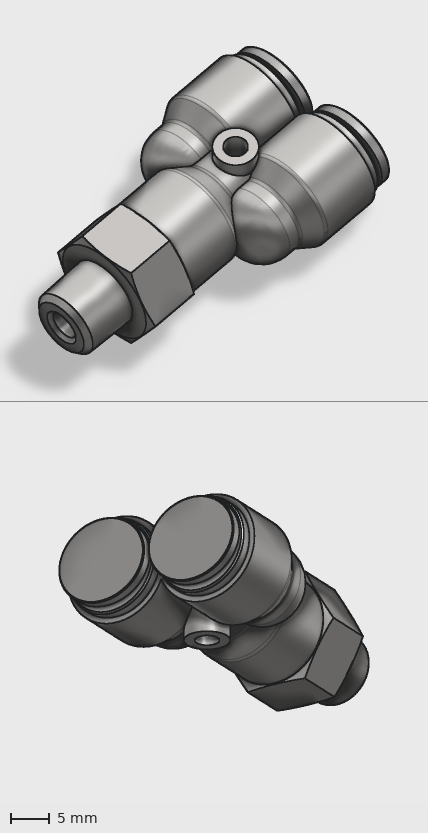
import cadquery as cq
import math


overall_length = 47.45
overall_width = 28.3

hex_start = 8.0
hex_end = 16.1
hex_across_flats = 15.0
hex_chamfer_diameter = 14.8
hex_chamfer_length = 0.45
thread_base_diameter = 9.95
thread_tip_diameter = 9.6
thread_chamfer = 0.8
bore_diameter = 4.0
bore_chamfer = 0.55
bore_depth = hex_start

barrel_diameter = 14.7
neck_diameter = 11.1
shoulder_blend = 1.05
stem_cone_start = 25.0
stem_cone_end = 28.0
dome_bottom = 25.1
dome_flat_diameter = 2.0
port_cone_start = 31.6
port_cone_end = 34.6
barrel_end = 43.7
port_offset = (overall_width - barrel_diameter) / 2

eyelet_y = 32.55
eyelet_diameter = 6.0
eyelet_hole_diameter = 3.2

collar_end = 45.25
collar_diameter = 13.15
ring_neck_diameter = 7.5
flange_start = 46.0
flange_width = 12.9
flange_height = 11.63
collar_chamfer = 0.25
flange_chamfer = 0.15


def cylinder_along_y(x, start, end, diameter):
    """Solid cylinder parallel to Y between two Y positions."""
    plane = cq.Plane(origin=(x, start, 0), xDir=(1, 0, 0), normal=(0, 1, 0))
    return cq.Workplane(plane).circle(diameter / 2).extrude(end - start)


def revolve_about_y(profile):
    """Turn a closed (radius, Y) profile about the Y axis."""
    return profile.revolve(360, (0, 0, 0), (0, 1, 0))


def make_stud():
    """Hexagon with both ends chamfered, tapered thread and blind bore."""
    corner_radius = hex_across_flats / math.sqrt(3)
    hex_plane = cq.Plane(origin=(0, hex_start, 0), xDir=(1, 0, 0), normal=(0, 1, 0))
    hexagon = cq.Workplane(hex_plane).polygon(6, 2 * corner_radius).extrude(hex_end - hex_start)

    chamfer_envelope = revolve_about_y(
        cq.Workplane("XY").polyline([
            (0, hex_start),
            (hex_chamfer_diameter / 2, hex_start),
            (corner_radius, hex_start + hex_chamfer_length),
            (corner_radius, hex_end - hex_chamfer_length),
            (hex_chamfer_diameter / 2, hex_end),
            (0, hex_end),
        ]).close()
    )

    tip_radius = thread_tip_diameter / 2
    thread = revolve_about_y(
        cq.Workplane("XY").polyline([
            (0, 0),
            (tip_radius - thread_chamfer, 0),
            (tip_radius, thread_chamfer),
            (thread_base_diameter / 2, hex_start),
            (0, hex_start),
        ]).close()
    )

    bore_radius = bore_diameter / 2
    bore = revolve_about_y(
        cq.Workplane("XY").polyline([
            (0, 0),
            (bore_radius + bore_chamfer, 0),
            (bore_radius, bore_chamfer),
            (bore_radius, bore_depth),
            (0, bore_depth),
        ]).close()
    )
    return hexagon.intersect(chamfer_envelope).union(thread).cut(bore)


def blend_shoulders(solid, positions):
    """Round the circular edges of a body turned about Y that lie at the given Y positions."""
    reach = barrel_diameter
    slack = 0.05
    for y in positions:
        at_position = cq.selectors.BoxSelector((-reach, y - slack, -reach), (reach, y + slack, reach), True)
        solid = solid.edges(at_position).fillet(shoulder_blend)
    return solid


def make_stem():
    """Barrel next to the hexagon, narrowing to the neck that runs in between the ports."""
    stem = revolve_about_y(
        cq.Workplane("XY").polyline([
            (0, hex_end),
            (barrel_diameter / 2, hex_end),
            (barrel_diameter / 2, stem_cone_start),
            (neck_diameter / 2, stem_cone_end),
            (neck_diameter / 2, eyelet_y),
            (0, eyelet_y),
        ]).close()
    )
    return blend_shoulders(stem, [stem_cone_start, stem_cone_end])


def make_port(x):
    """Port barrel narrowing to a neck that is closed by a dome with a small flat."""
    neck_radius = neck_diameter / 2
    flat_radius = dome_flat_diameter / 2
    dome_radius = neck_radius - flat_radius
    arc_reach = dome_radius / math.sqrt(2)
    port = revolve_about_y(
        cq.Workplane("XY")
        .moveTo(0, dome_bottom)
        .lineTo(flat_radius, dome_bottom)
        .threePointArc(
            (flat_radius + arc_reach, dome_bottom + dome_radius - arc_reach),
            (neck_radius, dome_bottom + dome_radius),
        )
        .lineTo(neck_radius, port_cone_start)
        .lineTo(barrel_diameter / 2, port_cone_end)
        .lineTo(barrel_diameter / 2, barrel_end)
        .lineTo(0, barrel_end)
        .close()
    )
    return blend_shoulders(port, [port_cone_start, port_cone_end]).translate((x, 0, 0))


def make_housing():
    """Stem, both ports and the eyelet as one body."""
    eyelet = (
        cq.Workplane("XY")
        .center(0, eyelet_y)
        .circle(eyelet_diameter / 2)
        .extrude(barrel_diameter / 2, both=True)
    )
    eyelet_hole = (
        cq.Workplane("XY")
        .center(0, eyelet_y)
        .circle(eyelet_hole_diameter / 2)
        .extrude(barrel_diameter, both=True)
    )
    housing = make_stem()
    for side in (-1, 1):
        housing = housing.union(make_port(side * port_offset))
    return housing.union(eyelet).cut(eyelet_hole)


def make_collar(x):
    """Collar on the end face of a port barrel."""
    collar = cylinder_along_y(x, barrel_end, collar_end, collar_diameter)
    return collar.faces(">Y").chamfer(collar_chamfer)


def make_release_ring(x):
    """Round neck on the collar that carries an oval push flange."""
    neck = cylinder_along_y(x, collar_end, flange_start, ring_neck_diameter)
    flange_plane = cq.Plane(origin=(x, flange_start, 0), xDir=(1, 0, 0), normal=(0, 1, 0))
    flange = (
        cq.Workplane(flange_plane)
        .ellipse(flange_width / 2, flange_height / 2)
        .extrude(overall_length - flange_start)
        .faces(">Y")
        .chamfer(flange_chamfer)
    )
    return neck.union(flange)


stud = make_stud()
housing = make_housing()
collars = []
release_rings = []
for side in (-1, 1):
    collars.append(make_collar(side * port_offset).val())
    release_rings.append(make_release_ring(side * port_offset).val())

result = cq.Compound.makeCompound([stud.val(), housing.val(), *collars, *release_rings])